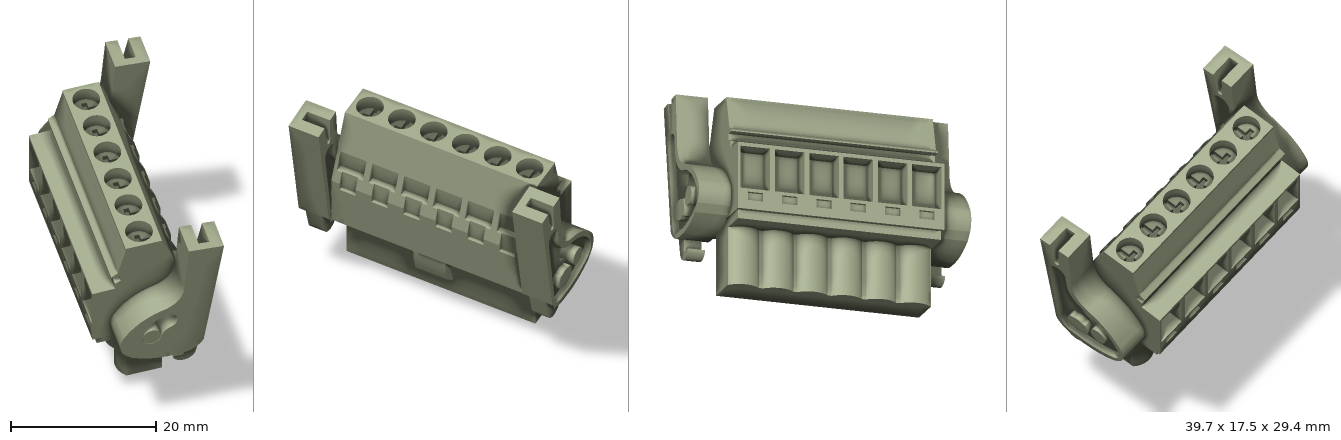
import cadquery as cq
import math


POLE_COUNT = 6
POLE_PITCH = 5.0
POLE_X = [(i - (POLE_COUNT - 1) / 2) * POLE_PITCH for i in range(POLE_COUNT)]

HOUSING_LENGTH = 30.1
FRONT_Y = -7.49
BACK_Y = 6.52
BODY_BOTTOM_Z = 9.6
BODY_TOP_Z = 27.17
TOP_FRONT_Y = -2.68
TOP_BACK_Y = 2.55
TOP_BAND_HEIGHT = 0.5
BACK_SLOPE = 2.5
BLOCK_TOP_Z = 19.2
BLOCK_TOP_DROP = 0.09
NECK_Y = -4.22
NECK_TOP_Z = 20.3
GROOVE_Y = -3.41
GROOVE_BOTTOM_Z = 20.7
GROOVE_TOP_Z = 21.62
LIP_Y = -4.77
LIP_EDGE_HEIGHT = 0.2
LIP_ROOT_Y = -3.85
LIP_ROOT_Z = 22.36

FLANGE_LENGTH = 29.6
FLANGE_FRONT_Y = -6.8
FLANGE_BOTTOM_Z = 8.35
PLUG_BACK_Y = 2.62
PLUG_FRONT_Y = -2.54
BARREL_WIDTH = 4.42
BARREL_BULGE = 0.96

WIRE_WIDTH = 4.3
WIRE_BOTTOM_Z = 12.57
WIRE_TOP_Z = 18.66
WIRE_DEPTH = 2.9
WINDOW_WIDTH = 2.25
WINDOW_BOTTOM_Z = 10.9
WINDOW_TOP_Z = 12.1
WINDOW_DEPTH = 0.5

RECESS_WIDTH = 4.08
RECESS_WALL_Y = 4.75
RECESS_FLOOR_Z = 18.9
NOTCH_WIDTH = 2.5
NOTCH_TOP_Y = 5.68
NOTCH_BOTTOM_Y = 5.95
NOTCH_DROP = 2.8

LATCH_WIDTH = POLE_PITCH

SCREW_DIAMETER = 3.83
SCREW_TOP_Z = BODY_TOP_Z - 2.2
SCREW_LENGTH = 3.0
LONG_SLOT_WIDTH = 0.6
SHORT_SLOT_WIDTH = 0.8
SHORT_SLOT_LENGTH = 2.5
SCREW_SLOT_DEPTH = 0.8

LEVER_WIDTH = 4.7
LEVER_GAP = 0.1
POCKET_DEPTH = 1.0
LEVER_INNER_X = HOUSING_LENGTH / 2 + LEVER_GAP
LEVER_START_X = [-LEVER_INNER_X - LEVER_WIDTH, LEVER_INNER_X]
GRIP_SLOT_DEPTH = 3.55
GRIP_SLOT_BOTTOM_Z = 25.0
HOOK_WIDTH = 2.52

PIVOT_Y = 3.24
PIVOT_Z = 12.15
PIVOT_RADIUS = 1.5
PIVOT_HEAD_RADIUS = 1.82
PIVOT_HEAD_HEIGHT = 2.5
GUIDE_ORBIT = 3.74
GUIDE_START_ANGLE = 165.0
GUIDE_END_ANGLE = 110.0
GUIDE_PIN_RADIUS = 1.3
GUIDE_SLOT_RADIUS = 1.38
PIN_LENGTH = LEVER_GAP + LEVER_WIDTH


def x_plane(x):
    """Sketch plane across the row of poles: local x is Y, local y is Z, extrusion goes to +X."""
    return cq.Workplane("YZ", origin=(x, 0, 0))


def box(x_range, y_range, z_range):
    """Box between pairs of limits."""
    (x0, x1), (y0, y1), (z0, z1) = x_range, y_range, z_range
    return cq.Workplane("XY").box(x1 - x0, y1 - y0, z1 - z0, centered=False).translate((x0, y0, z0))


def centred(x, width):
    """Limits of a width centred on x."""
    return (x - width / 2, x + width / 2)


def orbit_point(angle, radius):
    """Point at a polar angle and radius around the lever pivot."""
    turn = math.radians(angle)
    return (PIVOT_Y + radius * math.cos(turn), PIVOT_Z + radius * math.sin(turn))


def housing_body():
    back_slope_end_z = BODY_TOP_Z - (BACK_Y - TOP_BACK_Y) * BACK_SLOPE
    outline = [
        (FRONT_Y, BODY_BOTTOM_Z),
        (FRONT_Y, BLOCK_TOP_Z),
        (NECK_Y, BLOCK_TOP_Z + BLOCK_TOP_DROP),
        (NECK_Y, NECK_TOP_Z),
        (GROOVE_Y, GROOVE_BOTTOM_Z),
        (GROOVE_Y, GROOVE_TOP_Z),
        (LIP_Y, GROOVE_TOP_Z),
        (LIP_Y, GROOVE_TOP_Z + LIP_EDGE_HEIGHT),
        (LIP_ROOT_Y, LIP_ROOT_Z),
        (TOP_FRONT_Y, BODY_TOP_Z - TOP_BAND_HEIGHT),
        (TOP_FRONT_Y, BODY_TOP_Z),
        (TOP_BACK_Y, BODY_TOP_Z),
        (BACK_Y, back_slope_end_z),
        (BACK_Y, BODY_BOTTOM_Z),
    ]
    return x_plane(-HOUSING_LENGTH / 2).polyline(outline).close().extrude(HOUSING_LENGTH)


def plug_end():
    """Flange and plug block below the body, with one rounded barrel per pole."""
    span = centred(0, FLANGE_LENGTH)
    plug = box(span, (FLANGE_FRONT_Y, PLUG_BACK_Y), (FLANGE_BOTTOM_Z, BODY_BOTTOM_Z))
    plug = plug.union(box(span, (PLUG_FRONT_Y, PLUG_BACK_Y), (0, FLANGE_BOTTOM_Z)))
    for x in POLE_X:
        left, right = centred(x, BARREL_WIDTH)
        barrel = (
            cq.Workplane("XY")
            .moveTo(left, PLUG_FRONT_Y)
            .threePointArc((x, PLUG_FRONT_Y - BARREL_BULGE), (right, PLUG_FRONT_Y))
            .close()
            .extrude(FLANGE_BOTTOM_Z)
        )
        plug = plug.union(barrel)
    return plug


def rear_latch():
    """Hooked tongue that hangs from the back of the body."""
    return (
        x_plane(-LATCH_WIDTH / 2)
        .moveTo(3.85, BODY_BOTTOM_Z)
        .lineTo(4.33, 6.88)
        .lineTo(4.29, 5.39)
        .lineTo(3.6, 4.72)
        .lineTo(3.82, 3.72)
        .lineTo(5.3, 5.15)
        .threePointArc((5.6, 6.1), (6.0, BODY_BOTTOM_Z))
        .close()
        .extrude(LATCH_WIDTH)
    )


def pole_cuts(x):
    """Wire entry, window, screw hole and rear recess of one pole."""
    wire = box(centred(x, WIRE_WIDTH), (FRONT_Y, FRONT_Y + WIRE_DEPTH), (WIRE_BOTTOM_Z, WIRE_TOP_Z))
    window = box(
        centred(x, WINDOW_WIDTH), (FRONT_Y, FRONT_Y + WINDOW_DEPTH), (WINDOW_BOTTOM_Z, WINDOW_TOP_Z)
    )
    screw_hole = (
        cq.Workplane("XY", origin=(x, 0, SCREW_TOP_Z - SCREW_LENGTH))
        .circle(SCREW_DIAMETER / 2)
        .extrude(BODY_TOP_Z - SCREW_TOP_Z + SCREW_LENGTH)
    )
    recess = box(centred(x, RECESS_WIDTH), (RECESS_WALL_Y, BACK_Y), (RECESS_FLOOR_Z, BODY_TOP_Z))
    notch = (
        x_plane(x - NOTCH_WIDTH / 2)
        .moveTo(NOTCH_TOP_Y, RECESS_FLOOR_Z)
        .lineTo(NOTCH_BOTTOM_Y, RECESS_FLOOR_Z - NOTCH_DROP)
        .lineTo(BACK_Y, RECESS_FLOOR_Z - NOTCH_DROP)
        .lineTo(BACK_Y, RECESS_FLOOR_Z)
        .close()
        .extrude(NOTCH_WIDTH)
    )
    return [wire, window, screw_hole, recess, notch]


def lever_pins(start_x):
    """Pivot pin and guide pin, from start_x towards +X."""
    pivot = x_plane(start_x).center(PIVOT_Y, PIVOT_Z).circle(PIVOT_RADIUS).extrude(PIN_LENGTH)
    guide_y, guide_z = orbit_point(GUIDE_START_ANGLE, GUIDE_ORBIT)
    guide = x_plane(start_x).center(guide_y, guide_z).circle(GUIDE_PIN_RADIUS).extrude(PIN_LENGTH)
    return [pivot, guide]


def pivot_head():
    """Flat-sided head that keeps the -X lever on its pivot, inside the lever pocket."""
    head_plane = x_plane(LEVER_START_X[0]).center(PIVOT_Y, PIVOT_Z)
    disc = head_plane.circle(PIVOT_HEAD_RADIUS).extrude(POCKET_DEPTH)
    flats = head_plane.rect(2 * PIVOT_HEAD_RADIUS, PIVOT_HEAD_HEIGHT).extrude(POCKET_DEPTH)
    return disc.intersect(flats)


def make_housing():
    housing = housing_body().union(plug_end()).union(rear_latch())
    for x in POLE_X:
        for cut in pole_cuts(x):
            housing = housing.cut(cut)
    for start_x in (-HOUSING_LENGTH / 2 - PIN_LENGTH, HOUSING_LENGTH / 2):
        for pin in lever_pins(start_x):
            housing = housing.union(pin)
    return housing.union(pivot_head())


def make_screw(x):
    """Screw with a cross recess: one slot right across, one shorter slot."""
    top_plane = cq.Workplane("XY", origin=(x, 0, SCREW_TOP_Z))
    screw = top_plane.circle(SCREW_DIAMETER / 2).extrude(-SCREW_LENGTH)
    long_slot = top_plane.rect(LONG_SLOT_WIDTH, SCREW_DIAMETER).extrude(-SCREW_SLOT_DEPTH)
    short_slot = top_plane.rect(SHORT_SLOT_LENGTH, SHORT_SLOT_WIDTH).extrude(-SCREW_SLOT_DEPTH)
    return screw.cut(long_slot).cut(short_slot)


def lever_plate(start_x):
    """Handle at the top that swells into a rounded cam around the pivot."""
    return (
        x_plane(start_x)
        .moveTo(10.03, 28.9)
        .lineTo(4.96, 29.42)
        .lineTo(4.33, 21.8)
        .threePointArc((3.66, 19.85), (1.27, 18.2))
        .threePointArc((-2.0, 16.65), (-4.45, 14.05))
        .threePointArc((-4.9, 12.3), (-4.45, 10.8))
        .lineTo(-3.4, 9.75)
        .threePointArc((-1.0, 8.75), (2.0, 8.25))
        .lineTo(4.3, 8.3)
        .threePointArc((6.0, 8.95), (7.1, 10.15))
        .close()
        .extrude(LEVER_WIDTH)
    )


def lever_hook(start_x):
    """Narrow catch below the cam, midway across the lever."""
    return (
        x_plane(start_x + (LEVER_WIDTH - HOOK_WIDTH) / 2)
        .moveTo(7.1, 10.15)
        .lineTo(6.3, 6.8)
        .threePointArc((4.4, 5.42), (3.1, 6.2))
        .lineTo(2.97, 6.58)
        .lineTo(4.57, 6.58)
        .lineTo(4.57, 8.6)
        .lineTo(6.0, 9.3)
        .close()
        .extrude(HOOK_WIDTH)
    )


def lever_pocket(start_x):
    """Shallow pocket in the -X face that leaves a rim along the lever outline."""
    return (
        x_plane(start_x)
        .moveTo(8.1, 22.9)
        .threePointArc((6.8, 24.2), (5.42, 22.9))
        .lineTo(5.2, 20.9)
        .threePointArc((3.75, 18.4), (1.3, 17.35))
        .threePointArc((-1.7, 15.8), (-3.86, 13.2))
        .threePointArc((-4.25, 12.1), (-3.5, 10.6))
        .threePointArc((-0.65, 9.5), (2.1, 9.1))
        .lineTo(4.95, 9.15)
        .threePointArc((6.05, 9.9), (6.4, 10.8))
        .close()
        .extrude(POCKET_DEPTH)
    )


def grip_slot(start_x):
    """Tapered slot with a round bottom, open at the top and the -X face of the handle."""
    above_z = 30.0
    return (
        x_plane(start_x)
        .moveTo(8.48, above_z)
        .lineTo(7.5, 25.45)
        .threePointArc((7.05, GRIP_SLOT_BOTTOM_Z), (6.62, 25.45))
        .lineTo(6.72, above_z)
        .close()
        .extrude(GRIP_SLOT_DEPTH)
    )


def guide_slot(start_x):
    """Curved slot, concentric with the pivot, for the guide pin."""
    middle = (GUIDE_START_ANGLE + GUIDE_END_ANGLE) / 2
    outer = GUIDE_ORBIT + GUIDE_SLOT_RADIUS
    inner = GUIDE_ORBIT - GUIDE_SLOT_RADIUS
    slot = (
        x_plane(start_x)
        .moveTo(*orbit_point(GUIDE_START_ANGLE, outer))
        .threePointArc(orbit_point(middle, outer), orbit_point(GUIDE_END_ANGLE, outer))
        .lineTo(*orbit_point(GUIDE_END_ANGLE, inner))
        .threePointArc(orbit_point(middle, inner), orbit_point(GUIDE_START_ANGLE, inner))
        .close()
        .extrude(LEVER_WIDTH)
    )
    for angle in (GUIDE_START_ANGLE, GUIDE_END_ANGLE):
        end = x_plane(start_x).center(*orbit_point(angle, GUIDE_ORBIT)).circle(GUIDE_SLOT_RADIUS)
        slot = slot.union(end.extrude(LEVER_WIDTH))
    return slot


def make_lever(start_x):
    pivot_hole = (
        x_plane(start_x).center(PIVOT_Y, PIVOT_Z).circle(PIVOT_RADIUS).extrude(LEVER_WIDTH)
    )
    return (
        lever_plate(start_x)
        .union(lever_hook(start_x))
        .cut(lever_pocket(start_x))
        .cut(grip_slot(start_x))
        .cut(guide_slot(start_x))
        .cut(pivot_hole)
    )


housing = make_housing()
screws = [make_screw(x) for x in POLE_X]
levers = [make_lever(start_x) for start_x in LEVER_START_X]

result = cq.Compound.makeCompound(
    [housing.val()] + [screw.val() for screw in screws] + [lever.val() for lever in levers]
)